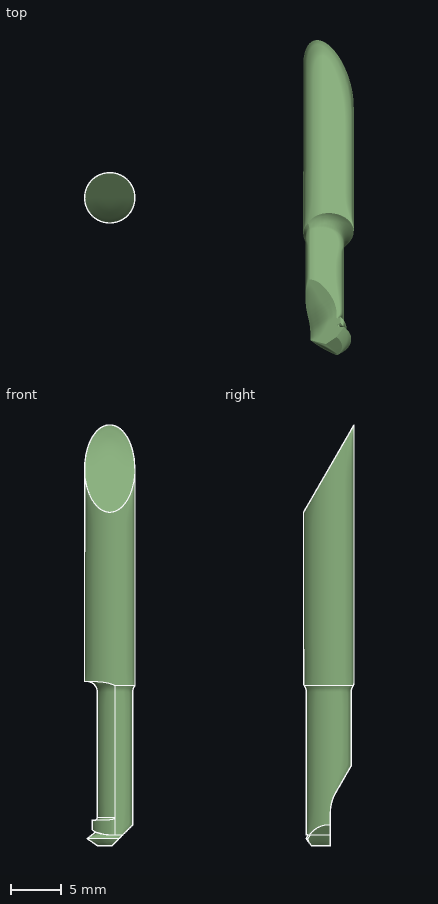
import cadquery as cq
import math

LENGTH = 41.6
SHANK_RADIUS = 2.5
SLANT_ANGLE = 30.0
SHANK_BOTTOM = 16.2
SLOPE = 1 / math.tan(math.radians(SLANT_ANGLE))

NECK_RADIUS = 2.3
NECK_OFFSET = 1.05
NECK_BOTTOM = 1.1
NECK_FILLET = 1.0
NECK_HALF_WIDTH = math.sqrt(NECK_RADIUS**2 - (NECK_OFFSET / 2) ** 2)

RAKE_Y = 0.15
RUNOUT_TOP = 7.9
RUNOUT_RADIUS = 4.0

COLLAR_REACH = 1.75
COLLAR_SIDE = (-1.1, -1.45)
COLLAR_END_X = 0.2
COLLAR_TOP = 2.55
COLLAR_BOTTOM = 1.62
COLLAR_BOTTOM_BACK = 1.05
COLLAR_FILLET = 0.25

LIP_RADIUS = 2.25
LIP_Z = 0.7
ROOT_RADIUS = 1.95
ROOT_Z = 1.35
TIP_RADIUS = 1.7
RELIEF_OFFSET = 0.5

BACK_CHAMFER_TOP = 2.08
CLEARANCE = 8.3


def z_cylinder(x, radius, bottom, top):
    return cq.Workplane("XY", origin=(x, 0, bottom)).circle(radius).extrude(top - bottom)


def flared_cylinder(x, bottom, flare_top, fillet):
    """Neck cylinder that widens at its top through a concave fillet."""
    outer = NECK_RADIUS + fillet
    flare_bottom = flare_top - fillet
    diagonal = fillet * math.sqrt(0.5)
    profile = (
        cq.Workplane("XZ", origin=(x, 0, 0))
        .moveTo(0, bottom)
        .lineTo(NECK_RADIUS, bottom)
        .lineTo(NECK_RADIUS, flare_bottom)
        .threePointArc((outer - diagonal, flare_bottom + diagonal), (outer, flare_top))
        .lineTo(0, flare_top)
        .close()
    )
    return profile.revolve(360, (0, 0, 0), (0, 1, 0))


def yz_prism(wire):
    return wire.extrude(CLEARANCE, both=True)


def shank_slant():
    """Material above the slanted top face, which peaks on the +Y side."""
    low = LENGTH - 2 * SHANK_RADIUS * SLOPE
    wire = cq.Workplane("YZ").polyline([(-SHANK_RADIUS, low), (SHANK_RADIUS, LENGTH), (-SHANK_RADIUS, LENGTH)])
    return yz_prism(wire.close())


def rake_cut():
    """Material in front of the rake face and its run-out."""
    corner_z = RUNOUT_TOP - (NECK_HALF_WIDTH - RAKE_Y) * SLOPE
    angle = math.radians(SLANT_ANGLE)
    arc_bottom = corner_z - RUNOUT_RADIUS * math.tan(angle / 2)

    def arc_point(turn):
        return (
            RAKE_Y + RUNOUT_RADIUS * (1 - math.cos(turn)),
            arc_bottom + RUNOUT_RADIUS * math.sin(turn),
        )

    outer_y = NECK_HALF_WIDTH + SHANK_RADIUS
    wire = (
        cq.Workplane("YZ")
        .moveTo(RAKE_Y, -CLEARANCE)
        .lineTo(RAKE_Y, arc_bottom)
        .threePointArc(arc_point(angle / 2), arc_point(angle))
        .lineTo(outer_y, RUNOUT_TOP + SHANK_RADIUS * SLOPE)
        .lineTo(outer_y, -CLEARANCE)
        .close()
    )
    return yz_prism(wire)


def back_chamfer():
    """Wedge removed by the 45 degree chamfer on the +X side."""
    return (
        cq.Workplane("XZ")
        .moveTo(NECK_RADIUS, BACK_CHAMFER_TOP)
        .lineTo(NECK_RADIUS + CLEARANCE, BACK_CHAMFER_TOP + CLEARANCE)
        .lineTo(NECK_RADIUS + CLEARANCE, BACK_CHAMFER_TOP - CLEARANCE)
        .lineTo(NECK_RADIUS - CLEARANCE, BACK_CHAMFER_TOP - CLEARANCE)
        .close()
        .extrude(CLEARANCE, both=True)
    )


def make_neck():
    round_side = flared_cylinder(0, NECK_BOTTOM, SHANK_BOTTOM, NECK_FILLET)
    relieved_side = flared_cylinder(NECK_OFFSET, NECK_BOTTOM, SHANK_BOTTOM, NECK_FILLET)
    envelope = z_cylinder(0, SHANK_RADIUS, NECK_BOTTOM, SHANK_BOTTOM)
    neck = round_side.intersect(relieved_side).intersect(envelope)
    return neck.cut(rake_cut()).cut(back_chamfer())


def make_holder():
    shank = z_cylinder(0, SHANK_RADIUS, SHANK_BOTTOM, LENGTH).cut(shank_slant())
    return shank.union(make_neck())


def collar_prism(top):
    side_x, side_y = COLLAR_SIDE
    seam_x = NECK_OFFSET / 2
    return (
        cq.Workplane("XY", origin=(0, 0, NECK_BOTTOM))
        .moveTo(seam_x, -NECK_HALF_WIDTH)
        .lineTo(COLLAR_END_X, -NECK_HALF_WIDTH)
        .threePointArc((side_x, side_y), (-COLLAR_REACH, 0))
        .lineTo(-COLLAR_REACH, RAKE_Y)
        .lineTo(seam_x, RAKE_Y)
        .close()
        .extrude(top - NECK_BOTTOM)
    )


def make_collar():
    """Collar with a fillet above it and a bottom that falls towards -Y."""
    fillet_top = COLLAR_TOP + COLLAR_FILLET
    flare = flared_cylinder(NECK_OFFSET, 0, fillet_top, COLLAR_FILLET)
    flare = flare.mirror("XY", (0, 0, fillet_top - COLLAR_FILLET / 2))
    fillet = collar_prism(fillet_top).intersect(flare)
    collar = collar_prism(COLLAR_TOP).union(fillet)
    fall = (COLLAR_BOTTOM - COLLAR_BOTTOM_BACK) / NECK_HALF_WIDTH
    below = cq.Workplane("YZ").polyline(
        [
            (CLEARANCE, COLLAR_BOTTOM + fall * CLEARANCE),
            (-CLEARANCE, COLLAR_BOTTOM - fall * CLEARANCE),
            (CLEARANCE, COLLAR_BOTTOM - fall * CLEARANCE),
        ]
    )
    return collar.cut(yz_prism(below.close()))


def lip_flank(x_low, radius_low, z_low, x_high, radius_high, z_high):
    lower = cq.Wire.makeCircle(radius_low, cq.Vector(x_low, 0, z_low), cq.Vector(0, 0, 1))
    upper = cq.Wire.makeCircle(radius_high, cq.Vector(x_high, 0, z_high), cq.Vector(0, 0, 1))
    return cq.Workplane(cq.Solid.makeLoft([lower, upper], True))


def make_cutting_head():
    lower_flank = lip_flank(RELIEF_OFFSET, TIP_RADIUS, 0, 0, LIP_RADIUS, LIP_Z)
    upper_flank = lip_flank(0, LIP_RADIUS, LIP_Z, RELIEF_OFFSET, ROOT_RADIUS, ROOT_Z)
    root = z_cylinder(RELIEF_OFFSET, ROOT_RADIUS, ROOT_Z, COLLAR_BOTTOM).intersect(collar_prism(COLLAR_TOP))
    head = lower_flank.union(upper_flank).union(root).union(make_collar())
    return head.cut(rake_cut()).cut(back_chamfer()).cut(make_neck())


holder = make_holder()
cutting_head = make_cutting_head()
result = cq.Compound.makeCompound([holder.solids().val(), cutting_head.solids().val()])